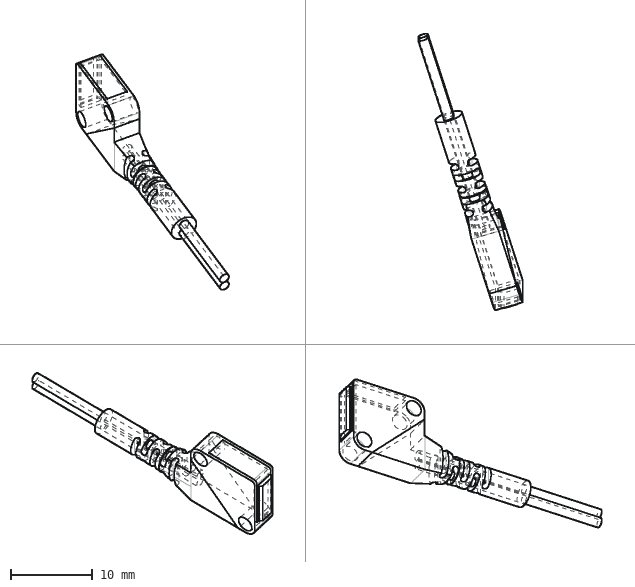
import cadquery as cq

HOUSING_SIDE = 10.0
THICKNESS = 3.5
CORNER_RADIUS = 1.5
FRONT_TOP_RADIUS = 0.5
HOLE_DIAMETER = 2.05

WINDOW_REACH = 7.48
WINDOW_WIDTH = 2.75
WINDOW_DEPTH = 0.5
PANEL_HEIGHT = 6.32
PANEL_WIDTH = 2.4
PANEL_PROJECTION = 0.5
PANEL_EDGE_CHAMFER = 0.33
PANEL_TOP_GAP = 0.95

CORNER_LEG = 7.37
NECK_HEIGHT = 5.0
NECK_LENGTH = 5.0
SLEEVE_DIAMETER = 3.45
BOOT_LENGTH = 15.0
BOOT_AXIS_Z = NECK_HEIGHT / 2

SLOT_WIDTH = 0.8
SIDE_SLOT_PITCH = 3.0
SLOT_PITCH = SIDE_SLOT_PITCH / 2
SLOT_COUNT = 5
SIDE_SLOT_WEB = 1.2
TOP_SLOT_WEB = 0.98
SLOT_CUT = 2 * NECK_HEIGHT

WIRE_COUNT = 2
WIRE_DIAMETER = 1.25
OVERALL_LENGTH = 36.15
WIRE_LENGTH = OVERALL_LENGTH - PANEL_PROJECTION - HOUSING_SIDE


def whole_block():
    """The whole square block, before it is divided into housing, window and boot corner."""
    block = cq.Workplane("XY").box(HOUSING_SIDE, THICKNESS, HOUSING_SIDE, centered=(False, True, False))
    block = block.edges("|Y and >X and >Z").fillet(CORNER_RADIUS)
    block = block.edges("|Y and <X and <Z").fillet(CORNER_RADIUS)
    return block.edges("|Y and <X and >Z").fillet(FRONT_TOP_RADIUS)


def mounting_holes():
    """Cutters for the two holes in opposite rounded corners."""
    far_side = HOUSING_SIDE - CORNER_RADIUS
    centres = [(CORNER_RADIUS, CORNER_RADIUS), (far_side, far_side)]
    holes = cq.Workplane("XZ").pushPoints(centres).circle(HOLE_DIAMETER / 2)
    return holes.extrude(THICKNESS, both=True)


def window_insert(block):
    """The L-shaped insert without its panel, following the rounded upper front edge."""
    top_z = HOUSING_SIDE
    inner_z = top_z - WINDOW_DEPTH
    profile = [
        (0, top_z),
        (WINDOW_REACH, top_z),
        (WINDOW_REACH, inner_z),
        (WINDOW_DEPTH, inner_z),
        (WINDOW_DEPTH, top_z - WINDOW_REACH),
        (0, top_z - WINDOW_REACH),
    ]
    insert = cq.Workplane("XZ").polyline(profile).close().extrude(WINDOW_WIDTH / 2, both=True)
    return insert.intersect(block)


def front_panel():
    """The raised panel, chamfered along its two long front edges and seated through the insert."""
    panel = (
        cq.Workplane("XY")
        .box(PANEL_PROJECTION + WINDOW_DEPTH, PANEL_WIDTH, PANEL_HEIGHT, centered=(False, True, False))
        .translate((-PANEL_PROJECTION, 0, HOUSING_SIDE - PANEL_TOP_GAP - PANEL_HEIGHT))
    )
    return panel.edges("|Z and <X").chamfer(PANEL_EDGE_CHAMFER)


def boot_corner():
    """The triangular piece that completes the lower rear corner of the block."""
    corner = [
        (HOUSING_SIDE - CORNER_LEG, 0),
        (HOUSING_SIDE, 0),
        (HOUSING_SIDE, CORNER_LEG),
    ]
    return cq.Workplane("XZ").polyline(corner).close().extrude(THICKNESS / 2, both=True)


def boot_neck():
    """The neck, changing from a rectangle at the block to a circle at the sleeve."""
    return (
        cq.Workplane("YZ", origin=(HOUSING_SIDE, 0, BOOT_AXIS_Z))
        .rect(THICKNESS, NECK_HEIGHT)
        .workplane(offset=NECK_LENGTH)
        .circle(THICKNESS / 2)
        .loft(ruled=True)
    )


def boot_sleeve():
    """The round sleeve from the end of the neck to the end of the boot."""
    sleeve = cq.Workplane("YZ", origin=(HOUSING_SIDE + NECK_LENGTH, 0, BOOT_AXIS_Z))
    return sleeve.circle(SLEEVE_DIAMETER / 2).extrude(BOOT_LENGTH - NECK_LENGTH)


def slot_pair(plane, x, web):
    """Cutters for two opposite round-bottomed slots, with a web left between them."""
    centre_offset = (web + SLOT_CUT) / 2
    return (
        cq.Workplane(plane, origin=(x, 0, BOOT_AXIS_Z))
        .pushPoints([(0, centre_offset), (0, -centre_offset)])
        .slot2D(SLOT_CUT, SLOT_WIDTH, angle=90)
        .extrude(SLOT_CUT / 2, both=True)
    )


def make_wires():
    """The round wires, each starting at the rear face of the block."""
    wires = []
    for index in range(WIRE_COUNT):
        z = BOOT_AXIS_Z + (index - (WIRE_COUNT - 1) / 2) * WIRE_DIAMETER
        wire = cq.Workplane("YZ", origin=(HOUSING_SIDE, 0, z))
        wires.append(wire.circle(WIRE_DIAMETER / 2).extrude(WIRE_LENGTH))
    return wires


def make_boot(wires):
    """The corner piece, neck and sleeve in one, slotted and bored for the wires."""
    boot = boot_corner().union(boot_neck()).union(boot_sleeve())
    for index in range(SLOT_COUNT):
        x = HOUSING_SIDE + SIDE_SLOT_PITCH + index * SLOT_PITCH
        if index % 2 == 0:
            boot = boot.cut(slot_pair("XY", x, SIDE_SLOT_WEB))
        else:
            boot = boot.cut(slot_pair("XZ", x, TOP_SLOT_WEB))
    for wire in wires:
        boot = boot.cut(wire)
    return boot


block = whole_block()
window = window_insert(block).union(front_panel())
housing = block.cut(boot_corner()).cut(window).cut(mounting_holes())
wires = make_wires()
boot = make_boot(wires)

result = cq.Compound.makeCompound([housing.val(), window.val(), boot.val(), *[wire.val() for wire in wires]])